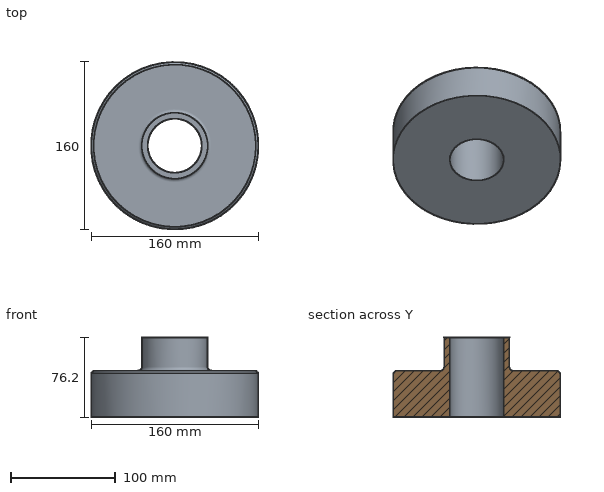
import cadquery as cq

disc_diameter = 160.0
disc_height = 44.5
total_height = 76.2
neck_diameter = 63.0
bore_diameter = 51.4
rim_chamfer = 2.5
neck_fillet = 3.4

disc_radius = disc_diameter / 2
neck_radius = neck_diameter / 2
bore_radius = bore_diameter / 2

half_section = (
    cq.Workplane("XZ")
    .moveTo(bore_radius, 0)
    .lineTo(disc_radius, 0)
    .lineTo(disc_radius, disc_height - rim_chamfer)
    .lineTo(disc_radius - rim_chamfer, disc_height)
    .lineTo(neck_radius + neck_fillet, disc_height)
    .radiusArc((neck_radius, disc_height + neck_fillet), neck_fillet)
    .lineTo(neck_radius, total_height)
    .lineTo(bore_radius, total_height)
    .close()
)

result = half_section.revolve(360, (0, 0, 0), (0, 1, 0))